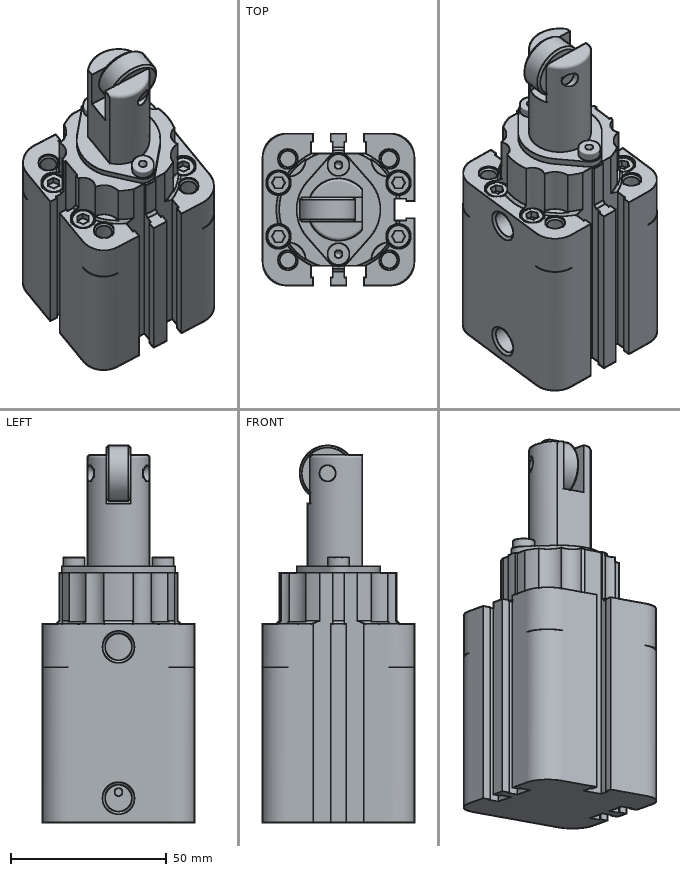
import cadquery as cq
import math

overall_height = 121.5
body_width = 49.0
body_half = body_width / 2
barrel_top = 50.0
shoulder_z = 64.0
barrel_corner_radius = 7.8
head_corner_radius = 8.1

lip_depth = 2.7
slot_floor = 18.1
side_slot_offset = 5.3
side_mouth_width = 5.6
end_mouth_width = 5.5
slot_width = 6.9

tower_radius = 19.1
tower_top = 80.4
tower_base_chamfer = 1.0
corner_scallop_lift = 0.7
corner_scallop_radius = 5.7

corner_hole_offset = 16.3
corner_hole_diameter = 5.2
corner_hole_chamfer = 0.6
corner_hole_depth = 14.6
head_screw_x = 19.3
head_screw_y = 8.6
screw_recess_diameter = 8.0
screw_recess_depth = 0.7
screw_head_diameter = 7.0
head_screw_top = shoulder_z - 0.4
hex_socket_corners = 4.3
hex_socket_depth = 2.4

plate_radius = 13.5
plate_lobe_radius = 4.0
plate_screw_y = 14.3
plate_top = 82.6
plate_screw_top = 85.4
plate_screw_diameter = 7.0
plate_screw_edge = 0.2
plate_socket_diameter = 2.5
plate_socket_depth = 1.8

port_diameter = 8.6
port_chamfer = 0.9
lower_port_z = 7.9
upper_port_z = 56.6
lower_port_depth = 8.5
air_hole_diameter = 2.5
air_hole_rise = 2.0
air_hole_depth = 2.4

piston_diameter = 32.0
rod_radius = 10.02
rod_flat_x = 7.7
rod_top = 118.5
rod_top_fillet = 1.1
fork_width = 7.8
fork_floor = 102.8
roller_diameter = 18.0
roller_x = -3.5
roller_z = overall_height - roller_diameter / 2
roller_chamfer = 0.7
axle_diameter = 5.2
axle_length = 15.5


def both_signs(x, y):
    """The four points (+-x, +-y)."""
    return [(sx * x, sy * y) for sx in (-1, 1) for sy in (-1, 1)]


def cylinder(radius, bottom, top, points=((0, 0),)):
    """Vertical cylinders between two heights, one at each point."""
    return cq.Workplane("XY", origin=(0, 0, bottom)).pushPoints(points).circle(radius).extrude(top - bottom)


def rounded_block(bottom, top, corner_radius):
    """Square block between two heights with rounded vertical corners."""
    block = cq.Workplane("XY", origin=(0, 0, bottom)).rect(body_width, body_width).extrude(top - bottom)
    return block.edges("|Z").fillet(corner_radius)


def sensor_slot(mouth_width):
    """Full-height slot cutter for the +X side, centred on Y = 0."""
    lip_x = body_half - lip_depth
    cutter_end_x = body_half + lip_depth
    outline = [
        (slot_floor, -slot_width / 2),
        (lip_x, -slot_width / 2),
        (lip_x, -mouth_width / 2),
        (cutter_end_x, -mouth_width / 2),
        (cutter_end_x, mouth_width / 2),
        (lip_x, mouth_width / 2),
        (lip_x, slot_width / 2),
        (slot_floor, slot_width / 2),
    ]
    return cq.Workplane("XY").polyline(outline).close().extrude(tower_top)


def all_sensor_slots():
    """One slot in the +X side and a pair in each of the +-Y sides."""
    slots = sensor_slot(end_mouth_width)
    side_slot = sensor_slot(side_mouth_width)
    for angle in (90, -90):
        facing_slot = side_slot.rotate((0, 0, 0), (0, 0, 1), angle)
        for offset in (-side_slot_offset, side_slot_offset):
            slots = slots.union(facing_slot.translate((offset, 0, 0)))
    return slots


def tower():
    """Round tower with a conical base rim and concave scallops beside the corner holes."""
    base_cone = cq.Solid.makeCone(
        tower_radius + tower_base_chamfer,
        tower_radius,
        tower_base_chamfer,
        pnt=cq.Vector(0, 0, shoulder_z),
    )
    scallops = cylinder(
        corner_scallop_radius,
        shoulder_z + corner_scallop_lift,
        tower_top,
        both_signs(corner_hole_offset, corner_hole_offset),
    )
    return cylinder(tower_radius, shoulder_z, tower_top).union(cq.Workplane(base_cone)).cut(scallops)


def corner_holes():
    """Blind holes with countersunk mouths in the four corners of the head."""
    points = both_signs(corner_hole_offset, corner_hole_offset)
    radius = corner_hole_diameter / 2
    holes = cylinder(radius, shoulder_z - corner_hole_depth, shoulder_z, points)
    countersinks = (
        cylinder(radius + corner_hole_chamfer, shoulder_z - 2 * corner_hole_chamfer, shoulder_z, points)
        .faces("<Z")
        .chamfer(corner_hole_chamfer)
    )
    return holes.union(countersinks)


def head_screw_recesses():
    """Screw recesses that also run up through the side of the tower."""
    points = both_signs(head_screw_x, head_screw_y)
    return cylinder(screw_recess_diameter / 2, shoulder_z - screw_recess_depth, tower_top, points)


def head_screws():
    """Flat screw heads standing in the recesses."""
    points = both_signs(head_screw_x, head_screw_y)
    return cylinder(screw_head_diameter / 2, shoulder_z - screw_recess_depth, head_screw_top, points)


def hex_sockets():
    """Hexagon sockets with two corners along Y, cut down through the screw heads."""
    sockets = cq.Workplane("XY", origin=(0, 0, head_screw_top))
    hexagon = cq.Sketch().regularPolygon(hex_socket_corners / 2, n=6, angle=90)
    points = both_signs(head_screw_x, head_screw_y)
    return sockets.pushPoints(points).placeSketch(hexagon).extrude(-hex_socket_depth)


def retaining_plate():
    """Round plate with two lobes joined to it by tangent lines."""
    tangent_angle = math.asin((plate_radius - plate_lobe_radius) / plate_screw_y)
    nx = math.cos(tangent_angle)
    ny = math.sin(tangent_angle)
    disc_x = plate_radius * nx
    disc_y = plate_radius * ny
    lobe_x = plate_lobe_radius * nx
    lobe_y = plate_screw_y + plate_lobe_radius * ny
    lobe_tip = plate_screw_y + plate_lobe_radius
    return (
        cq.Workplane("XY", origin=(0, 0, tower_top))
        .moveTo(disc_x, -disc_y)
        .threePointArc((plate_radius, 0), (disc_x, disc_y))
        .lineTo(lobe_x, lobe_y)
        .threePointArc((0, lobe_tip), (-lobe_x, lobe_y))
        .lineTo(-disc_x, disc_y)
        .threePointArc((-plate_radius, 0), (-disc_x, -disc_y))
        .lineTo(-lobe_x, -lobe_y)
        .threePointArc((0, -lobe_tip), (lobe_x, -lobe_y))
        .close()
        .extrude(plate_top - tower_top)
    )


def plate_screws():
    """Low round heads with a conical driver socket."""
    points = [(0, -plate_screw_y), (0, plate_screw_y)]
    heads = cylinder(plate_screw_diameter / 2, plate_top, plate_screw_top, points)
    heads = heads.faces(">Z").edges().fillet(plate_screw_edge)
    for x, y in points:
        socket = cq.Solid.makeCone(
            0,
            plate_socket_diameter / 2,
            plate_socket_depth,
            pnt=cq.Vector(x, y, plate_screw_top - plate_socket_depth),
        )
        heads = heads.cut(cq.Workplane(socket))
    return heads


def air_port(z, depth):
    """Port drilled inward from the -X side with a chamfered mouth."""
    mouth_radius = port_diameter / 2 + port_chamfer
    plane = cq.Workplane("YZ", origin=(-body_half, 0, z))
    mouth = cq.Solid.makeCone(
        mouth_radius,
        mouth_radius - port_chamfer,
        port_chamfer,
        pnt=cq.Vector(-body_half, 0, z),
        dir=cq.Vector(1, 0, 0),
    )
    return plane.circle(port_diameter / 2).extrude(depth).union(cq.Workplane(mouth))


def air_hole():
    """Small passage in the floor of the lower port."""
    floor_x = -body_half + lower_port_depth
    plane = cq.Workplane("YZ", origin=(floor_x, 0, lower_port_z + air_hole_rise))
    return plane.circle(air_hole_diameter / 2).extrude(air_hole_depth)


def rod_bar(bottom):
    """Round bar with a rounded top rim and a full-length flat on +X."""
    bar = cylinder(rod_radius, bottom, rod_top).faces(">Z").edges().fillet(rod_top_fillet)
    flat = cq.Workplane("XY").box(rod_radius, 2 * rod_radius, rod_top, centered=(False, True, False))
    return bar.cut(flat.translate((rod_flat_x, 0, 0)))


def piston():
    """Piston that fills the bore of the head."""
    return cylinder(piston_diameter / 2, barrel_top, shoulder_z)


def make_rod():
    """Rod with its piston below and a forked top that carries the roller on an axle."""
    fork_slot = cq.Workplane("XY", origin=(0, 0, fork_floor)).rect(4 * rod_radius, fork_width)
    axle_plane = cq.Workplane("XZ", origin=(roller_x, 0, roller_z))
    axle_bore = axle_plane.circle(axle_diameter / 2).extrude(rod_radius, both=True)
    axle = axle_plane.circle(axle_diameter / 2).extrude(axle_length / 2, both=True)
    roller = axle_plane.circle(roller_diameter / 2).extrude(fork_width / 2, both=True)
    roller = roller.faces("<Y or >Y").chamfer(roller_chamfer)
    bar = rod_bar(shoulder_z).cut(fork_slot.extrude(rod_top - fork_floor)).cut(axle_bore)
    return bar.union(piston()).union(axle).union(roller)


def make_housing():
    """Body, tower, plate and screws, with a bore for the piston and the flatted rod."""
    upper_port_depth = body_half - piston_diameter / 4
    housing = (
        rounded_block(0, barrel_top, barrel_corner_radius)
        .union(rounded_block(barrel_top, shoulder_z, head_corner_radius))
        .union(tower())
        .cut(all_sensor_slots())
        .cut(head_screw_recesses())
        .cut(corner_holes())
        .union(head_screws())
        .cut(hex_sockets())
        .union(retaining_plate())
        .union(plate_screws())
        .cut(air_port(upper_port_z, upper_port_depth))
        .cut(air_port(lower_port_z, lower_port_depth))
        .cut(air_hole())
    )
    return housing.cut(piston()).cut(rod_bar(shoulder_z))


housing = make_housing()
rod = make_rod()
result = cq.Compound.makeCompound([housing.val(), rod.val()])